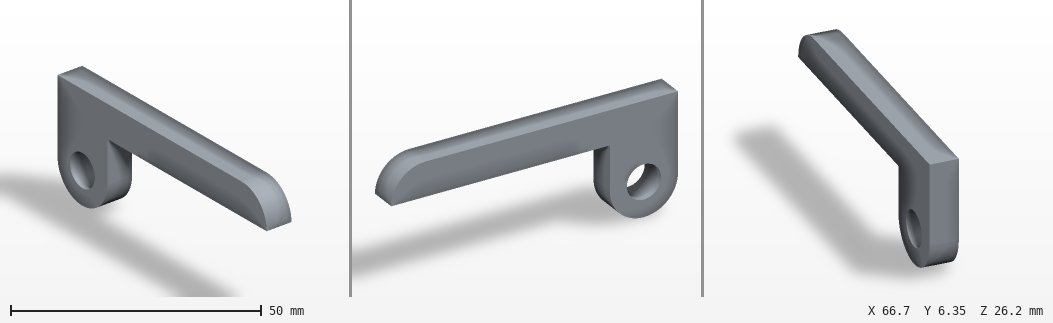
import cadquery as cq
import math

length = 66.7
thickness = 6.35
height = 26.2
arm_depth = 7.95
hole_diameter = 7.95

eye_radius = arm_depth
leg_width = 2 * eye_radius
tip_radius = arm_depth
eye_drop = height - eye_radius
diagonal = math.sqrt(0.5)


def lever_outline():
    """L-shaped profile with its upper left corner at the origin."""
    tip_start = length - tip_radius
    return (
        cq.Workplane("XZ")
        .moveTo(0, 0)
        .lineTo(tip_start, 0)
        .threePointArc(
            (tip_start + tip_radius * diagonal, -tip_radius + tip_radius * diagonal),
            (length, -arm_depth),
        )
        .lineTo(leg_width, -arm_depth)
        .lineTo(leg_width, -eye_drop)
        .threePointArc((eye_radius, -height), (0, -eye_drop))
        .close()
    )


def pivot_hole():
    """Cylinder through the plate at the centre of the eye."""
    return (
        cq.Workplane("XZ")
        .center(eye_radius, -eye_drop)
        .circle(hole_diameter / 2)
        .extrude(thickness)
    )


result = lever_outline().extrude(thickness).cut(pivot_hole())